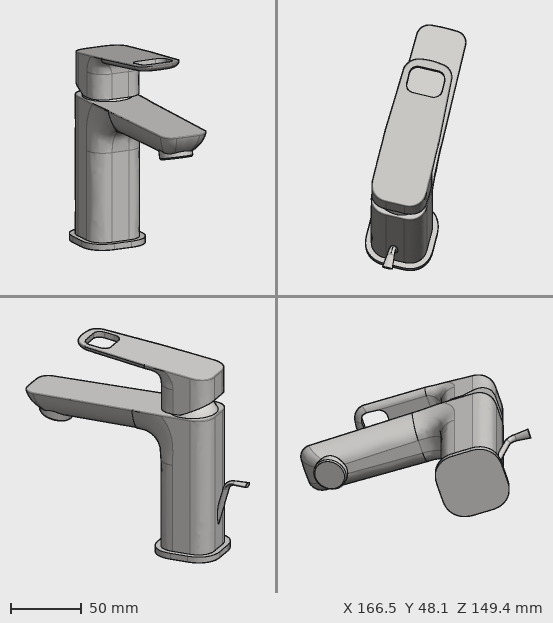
import cadquery as cq
import math

plate_side = 48.1
plate_height = 4.5
column_side = 40.1
column_half = column_side / 2
flat_width = 13.3
corner_width = (column_side - flat_width) / 2
round_fullness = math.sqrt(0.5)
corner_fullness = 0.73
body_height = 106.4

spout_reach = 124.3
spout_depth = 18.1
spout_tip_half = 18.6
spout_edge_width = 15.0
spout_edge_depth = 26.6
spout_bend_radius = 18.3
spout_bend_bulge = 1.7
spout_bend_reach = 33.3
spout_nose_radius = 23.6
spout_corner_radius = 9.0
spout_tip_bow = 0.3
top_edge_break = 0.5

aerator_diameter = 23.6
aerator_length = 10.8
aerator_tilt = 15.0
aerator_face_x = 105.7
aerator_face_z = 85.9
aerator_edge_break = 1.0

dome_radius = 20.1
dome_centre_z = 97.4

handle_side = 39.3
handle_half = handle_side / 2
handle_corner_width = (handle_side - flat_width) / 2
handle_top_z = 149.5
handle_reach = 85.2
handle_rise = 7.0
handle_bottom_z = 108.7
handle_back_bottom_z = 118.7
handle_flat_start_x = 0.8
lever_depth = 4.5
lever_edge_width = 5.0
lever_tip_half = 17.5
lever_corner_radius = 9.2
lever_tip_bow = 0.8
lever_bend_radius = 10.8
lever_bend_bulge = 1.0
lever_bend_reach = 23.3

window_centre_x = 69.5
window_length = 19.3
window_width = 25.6
window_corner_radius = 6.0
window_cut_depth = 16.6

rod_diameter = 4.2
rod_lean = 15.8
rod_bend_radius = 6.7
rod_bend_x = -32.3
rod_z = 55.5
rod_length = 46.6
knob_end_x = -42.3
knob_end_width = 7.2
knob_neck_width = 5.0
knob_thickness = 2.8
rod_bend_steps = 4

bend_steps = 4
tongue_levels = 6


def blend(start, end, fraction):
    return start + (end - start) * fraction


def soft_prism(side, bottom, height):
    """Square prism with a flat strip on each side and full rounded corners between them."""
    half = side / 2
    flat = flat_width / 2
    middle = blend(flat, half, corner_fullness)
    outline = cq.Workplane("XY").workplane(offset=bottom).moveTo(half, -flat)
    for c, s in ((1, 0), (0, 1), (-1, 0), (0, -1)):
        corner = [(x * c - y * s, x * s + y * c) for x, y in ((half, flat), (middle, middle), (flat, half))]
        outline = outline.lineTo(*corner[0]).spline(
            corner[1:], tangents=[(-s, c), (-c, -s)], includeCurrent=True
        )
    return outline.close().extrude(height)


def turned_plane(x, z, angle):
    """XY plane moved to (x, 0, z), with its X axis turned up towards Z by the angle."""
    c = math.cos(math.radians(angle))
    s = math.sin(math.radians(angle))
    return cq.Plane(origin=(x, 0, z), xDir=(c, 0, s), normal=(-s, 0, c))


def bend_section(plane, radius, reach, half, width, depth, fullness):
    """Bar section with its two inner corners rounded, each of the given width, depth and fullness."""
    side_x = radius + depth
    middle_x = blend(side_x, radius, fullness)
    flat_y = half - width
    middle_y = blend(flat_y, half, fullness)
    return (
        cq.Workplane(plane)
        .moveTo(radius, -flat_y)
        .lineTo(radius, flat_y)
        .spline([(middle_x, middle_y), (side_x, half)], tangents=[(0, 1), (1, 0)], includeCurrent=True)
        .lineTo(radius + reach, half)
        .lineTo(radius + reach, -half)
        .lineTo(side_x, -half)
        .spline([(middle_x, -middle_y), (radius, -flat_y)], tangents=[(-1, 0), (0, 1)], includeCurrent=True)
        .close()
        .val()
    )


def bend(x, z, radius, bulge, reach, end_angle, start, end):
    """Bend from horizontal to end_angle; start and end hold half width and corner width, depth and fullness.

    The bulge tightens the inner curve halfway round.
    """
    wires = []
    for i in range(bend_steps + 1):
        fraction = i / bend_steps
        plane = turned_plane(x, z, blend(180, end_angle, fraction))
        growth = math.sin(math.pi / 2 * fraction) ** 2
        sizes = [blend(a, b, growth) for a, b in zip(start, end)]
        inner_radius = radius + bulge * math.sin(math.pi * fraction) ** 2
        wires.append(bend_section(plane, inner_radius, reach, *sizes))
    return cq.Workplane(cq.Solid.makeLoft(wires))


def stem(side, bottom, top, bend_z, elbow):
    """Column that turns into the elbow at its front, above the height bend_z."""
    column = soft_prism(side, bottom, top - bottom)
    front = (
        cq.Workplane("XY")
        .workplane(offset=bend_z)
        .box(spout_reach, plate_side, top - bend_z, centered=(False, True, False))
    )
    return column.cut(front).union(elbow.intersect(front))


def tongue_outline(plane, depth, root_x, tip_x, root_half, tip_half, corner, bow):
    """Tapered outline with a rounded, slightly bowed tip."""
    shoulder_x = tip_x - bow
    return (
        cq.Workplane(plane)
        .workplane(offset=-depth)
        .moveTo(root_x, -root_half)
        .lineTo(shoulder_x - corner, -tip_half)
        .tangentArcPoint((shoulder_x, corner - tip_half), relative=False)
        .threePointArc((tip_x, 0), (shoulder_x, tip_half - corner))
        .tangentArcPoint((shoulder_x - corner, tip_half), relative=False)
        .lineTo(root_x, root_half)
        .close()
        .val()
    )


def tongue(plane, depth, edge_width, edge_depth, nose_inset, root_x, tip_x, root_half, tip_half, corner, bow):
    """Flat-topped tongue with elliptical sides; nose_inset gives the setback of the tip at a depth.

    The side ellipse is edge_width by edge_depth and ends horizontally at the underside.
    """
    rise = edge_depth - depth
    top_angle = math.asin(rise / edge_depth)
    wires = []
    for i in range(tongue_levels + 1):
        angle = blend(top_angle, math.pi / 2, i / tongue_levels)
        level = edge_depth * math.sin(angle) - rise
        inset = edge_width * (1 - math.cos(angle))
        half = tip_half - inset
        scale = half / tip_half
        wires.append(
            tongue_outline(
                plane, level, root_x, tip_x - nose_inset(level),
                root_half - inset, half, corner * scale, bow * scale,
            )
        )
    return cq.Workplane(cq.Solid.makeLoft(wires))


def spout_nose_inset(depth):
    nose_centre_depth = spout_depth - spout_nose_radius
    nose_run = math.sqrt(spout_nose_radius**2 - nose_centre_depth**2)
    return nose_run - math.sqrt(spout_nose_radius**2 - (depth - nose_centre_depth) ** 2)


def lever_nose_inset(depth):
    return lever_edge_width * (1 - math.sqrt(max(0, 1 - (depth / lever_depth) ** 2)))


def make_body():
    bend_x = column_half + spout_bend_radius
    bend_z = body_height - spout_depth - spout_bend_radius
    elbow = bend(
        bend_x, bend_z, spout_bend_radius, spout_bend_bulge, spout_bend_reach, 90,
        (column_half, corner_width, corner_width, corner_fullness),
        (column_half, spout_edge_width, spout_edge_depth, round_fullness),
    )
    spout = tongue(
        turned_plane(0, body_height, 0), spout_depth, spout_edge_width, spout_edge_depth,
        spout_nose_inset, bend_x, spout_reach, column_half,
        spout_tip_half, spout_corner_radius, spout_tip_bow,
    )
    body = stem(column_side, 0, body_height, bend_z, elbow).union(spout)
    return body.faces(">Z").edges().fillet(top_edge_break)


def make_aerator():
    face = turned_plane(aerator_face_x, aerator_face_z, aerator_tilt)
    barrel = cq.Workplane(face).circle(aerator_diameter / 2).extrude(aerator_length)
    outlet = cq.selectors.DirectionMinMaxSelector(face.zDir, False)
    return barrel.faces(outlet).chamfer(aerator_edge_break)


def make_dome():
    above_body = soft_prism(column_side, body_height, dome_radius)
    return cq.Workplane("XY").sphere(dome_radius).translate((0, 0, dome_centre_z)).intersect(above_body)


def handle_height(x):
    """Height of the sloping top of the handle."""
    return handle_top_z - (handle_reach - x) * math.tan(math.radians(handle_rise))


def make_handle_profile():
    """Side profile: sloping top, and a flat bottom that rises towards the back."""
    return (
        cq.Workplane("XZ")
        .moveTo(-handle_half, handle_back_bottom_z)
        .lineTo(handle_flat_start_x, handle_bottom_z)
        .lineTo(handle_reach, handle_bottom_z)
        .lineTo(handle_reach, handle_top_z)
        .lineTo(-handle_half, handle_height(-handle_half))
        .close()
        .extrude(handle_half, both=True)
    )


def make_handle():
    top = turned_plane(handle_reach, handle_top_z, handle_rise)
    cos_rise = math.cos(math.radians(handle_rise))
    bend_x = handle_half + lever_bend_radius
    bend_z = handle_height(bend_x) - (lever_depth + lever_bend_radius) / cos_rise
    elbow = bend(
        bend_x, bend_z, lever_bend_radius, lever_bend_bulge, lever_bend_reach, 90 + handle_rise,
        (handle_half, handle_corner_width, handle_corner_width, corner_fullness),
        (handle_half, lever_edge_width, lever_depth, round_fullness),
    )
    block = stem(handle_side, handle_bottom_z, handle_top_z, bend_z, elbow).intersect(make_handle_profile())
    root_x = top.toLocalCoords(cq.Vector(bend_x, 0, bend_z)).x
    lever = tongue(
        top, lever_depth, lever_edge_width, lever_depth, lever_nose_inset, root_x, 0,
        handle_half, lever_tip_half, lever_corner_radius, lever_tip_bow,
    )
    window = (
        cq.Workplane(top)
        .center((window_centre_x - handle_reach) / cos_rise, 0)
        .rect(window_length, window_width)
        .extrude(-window_cut_depth)
        .edges(cq.selectors.ParallelDirSelector(top.zDir))
        .fillet(window_corner_radius)
    )
    top_face = cq.selectors.DirectionMinMaxSelector(top.zDir)
    block = block.faces(top_face).edges("not >X").fillet(top_edge_break)
    lever = lever.faces(top_face).edges("not <X").fillet(top_edge_break)
    return block.union(lever).cut(window)


def make_rod():
    """Leaning round shaft that bends level and flattens into a knob."""
    axis_z = rod_z - rod_bend_radius

    def section(angle, width, thickness):
        plane = turned_plane(rod_bend_x, axis_z, angle)
        return cq.Workplane(plane).center(rod_bend_radius, 0).ellipse(thickness / 2, width / 2).val()

    turn_sections = []
    for i in range(rod_bend_steps + 1):
        fraction = i / rod_bend_steps
        width = blend(knob_neck_width, rod_diameter, fraction)
        thickness = blend(knob_thickness, rod_diameter, fraction)
        turn_sections.append(section(blend(90, rod_lean, fraction), width, thickness))
    turn = cq.Workplane(cq.Solid.makeLoft(turn_sections))

    knob_end = section(90, knob_end_width, knob_thickness).translate(cq.Vector(knob_end_x - rod_bend_x, 0, 0))
    knob = cq.Workplane(cq.Solid.makeLoft([knob_end, turn_sections[0]], True))
    shaft = (
        cq.Workplane(turned_plane(rod_bend_x, axis_z, rod_lean))
        .center(rod_bend_radius, 0)
        .circle(rod_diameter / 2)
        .extrude(-rod_length)
    )
    return turn.union(knob).union(shaft)


result = soft_prism(plate_side, 0, plate_height)
for piece in (make_body(), make_dome(), make_handle(), make_aerator(), make_rod()):
    result = result.union(piece)